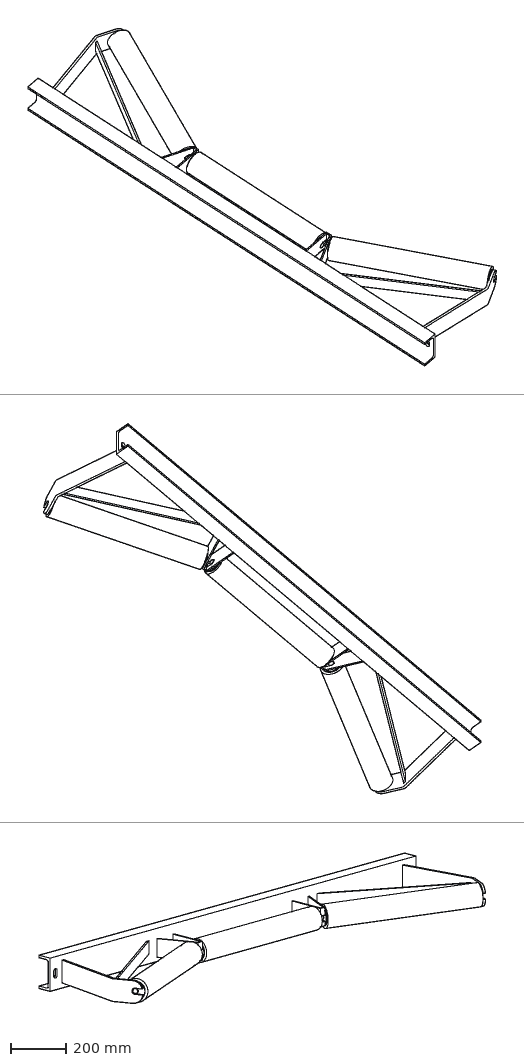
import cadquery as cq
import math


CHANNEL_LENGTH = 1900.0
CHANNEL_HEIGHT = 125.0
CHANNEL_DEPTH = 57.0
WEB_THICKNESS = 10.0
FLANGE_THICKNESS = 10.0
CHANNEL_FILLET = 10.0
MOUNT_SLOT_LENGTH = 35.0
MOUNT_SLOT_WIDTH = 17.0
MOUNT_SLOT_INSET = 28.0

ROLLER_DIAMETER = 90.0
ROLLER_LENGTH = 600.0
END_CAP_DIAMETER = 68.0
END_CAP_LENGTH = 4.0
SHAFT_DIAMETER = 19.0
ROLLER_GAP = 5.0
CENTRE_AXIS_Y = 114.0
WING_ANGLE = 25.0
WING_TILT = 2.0
WING_MIDDLE_X = 618.0
WING_MIDDLE_Y = 249.0
WING_OUTER_Z = 2.8

SHAFT_SLOT_WIDTH = 23.0
SHAFT_SLOT_REACH = 19.0
OUTER_HEIGHT = 85.0
OUTER_THICKNESS = 10.0
OUTER_FOOT_X = 884.0
OUTER_BEND_Y = 304.0
OUTER_BEND_RADIUS = 8.0
OUTER_TOP_LENGTH = 114.0
OUTER_END_RADIUS = 38.0
INNER_HEIGHT = 70.0
INNER_THICKNESS = 5.0
INNER_MIDDLE_Z = -11.0
INNER_TOP_Y = 140.0
BRACE_HEIGHT = 50.0
BRACE_THICKNESS = 8.0
BRACE_FOOT_X = 443.0
BRACE_TOP_Y = 300.0

FOOT_ALLOWANCE = 19.0

WING_DROP = ROLLER_LENGTH * math.sin(math.radians(WING_TILT))
WING_MIDDLE_Z = WING_OUTER_Z - WING_DROP / 2
CENTRE_AXIS_Z = WING_OUTER_Z - WING_DROP
WING_COS = math.cos(math.radians(WING_ANGLE))
WING_SIN = math.sin(math.radians(WING_ANGLE))
SHAFT_LENGTH = ROLLER_LENGTH + 2 * (ROLLER_GAP + INNER_THICKNESS)


def centred_along_x(section, length):
    """Extrude a YZ section along X, centred on X = 0."""
    return section.extrude(length).translate((-length / 2, 0, 0))


def place_centre(body):
    """Move a body built along X about the origin to the centre roller's place."""
    return body.translate((0, CENTRE_AXIS_Y, CENTRE_AXIS_Z))


def place_wing(body):
    """Move a body built along X about the origin to the right wing roller's place."""
    tilted = body.rotate((0, 0, 0), (0, 1, 0), -WING_TILT)
    raised = tilted.rotate((0, 0, 0), (0, 0, 1), WING_ANGLE)
    return raised.translate((WING_MIDDLE_X, WING_MIDDLE_Y, WING_MIDDLE_Z))


def beside_wing(distance, y):
    """The point at height y on a line square to the right wing roller, at a distance from its middle."""
    return (WING_MIDDLE_X + (distance - (y - WING_MIDDLE_Y) * WING_SIN) / WING_COS, y)


def below_foot(foot_x, upper):
    """The point where the line from the upper point through (foot_x, 0) passes below Y = 0."""
    upper_x, upper_y = upper
    return (foot_x - (upper_x - foot_x) * FOOT_ALLOWANCE / upper_y, -FOOT_ALLOWANCE)


def bent_strip(path, thickness, height):
    """A flat bar along an XY centre line, centred on Z = 0, with mitred bends and its feet at Y = 0."""
    directions = []
    for (x0, y0), (x1, y1) in zip(path, path[1:]):
        run = math.hypot(x1 - x0, y1 - y0)
        directions.append(((x1 - x0) / run, (y1 - y0) / run))
    before = directions[:1] + directions
    after = directions + directions[-1:]
    left, right = [], []
    for (x, y), (ax, ay), (bx, by) in zip(path, before, after):
        scale = thickness / 2 / (1 + ax * bx + ay * by)
        shift_x = -(ay + by) * scale
        shift_y = (ax + bx) * scale
        left.append((x + shift_x, y + shift_y))
        right.append((x - shift_x, y - shift_y))
    outline = left + right[::-1]
    strip = cq.Workplane("XY", origin=(0, 0, -height / 2)).polyline(outline).close().extrude(height)
    depth = 2 * FOOT_ALLOWANCE
    trim = cq.Workplane("XY").box(CHANNEL_LENGTH, depth, 2 * height).translate((0, -depth / 2, 0))
    return strip.cut(trim)


def channel():
    half_height = CHANNEL_HEIGHT / 2
    flange_inside = half_height - FLANGE_THICKNESS
    outline = [
        (0, -half_height),
        (0, half_height),
        (-CHANNEL_DEPTH, half_height),
        (-CHANNEL_DEPTH, flange_inside),
        (-WEB_THICKNESS, flange_inside),
        (-WEB_THICKNESS, -flange_inside),
        (-CHANNEL_DEPTH, -flange_inside),
        (-CHANNEL_DEPTH, -half_height),
    ]
    body = centred_along_x(cq.Workplane("YZ").polyline(outline).close(), CHANNEL_LENGTH)
    for z in (-flange_inside, flange_inside):
        inner_corner = cq.selectors.NearestToPointSelector((0, -WEB_THICKNESS, z))
        body = body.edges("|X").edges(inner_corner).fillet(CHANNEL_FILLET)
    slot_x = CHANNEL_LENGTH / 2 - MOUNT_SLOT_INSET
    slots = (
        cq.Workplane("XZ")
        .pushPoints([(-slot_x, 0), (slot_x, 0)])
        .slot2D(MOUNT_SLOT_LENGTH, MOUNT_SLOT_WIDTH, 90)
        .extrude(WEB_THICKNESS)
    )
    return body.cut(slots)


def round_bar(diameter, length):
    """A round bar along X, centred on the origin."""
    return centred_along_x(cq.Workplane("YZ").circle(diameter / 2), length)


def roller():
    """A roller along X, centred on the origin, with its end caps and shaft ends."""
    shell = round_bar(ROLLER_DIAMETER, ROLLER_LENGTH)
    caps = round_bar(END_CAP_DIAMETER, ROLLER_LENGTH + 2 * END_CAP_LENGTH)
    shaft = round_bar(SHAFT_DIAMETER, SHAFT_LENGTH)
    return shell.union(caps).union(shaft)


def shaft_slots():
    """Cutter for both shaft ends of a roller: round-bottomed slots, open away from the channel."""
    opening = ROLLER_DIAMETER
    seat = cq.Workplane("YZ").circle(SHAFT_SLOT_WIDTH / 2).extrude(SHAFT_SLOT_REACH)
    mouth = (
        cq.Workplane("YZ")
        .center(opening / 2, 0)
        .rect(opening, SHAFT_SLOT_WIDTH)
        .extrude(SHAFT_SLOT_REACH)
    )
    right_slot = seat.union(mouth).translate((ROLLER_LENGTH / 2, 0, 0))
    return right_slot.union(right_slot.mirror("YZ"))


def outer_bracket():
    """A plate rising from the channel and bent parallel to the outer end of the wing roller."""
    plate_distance = ROLLER_LENGTH / 2 + ROLLER_GAP + OUTER_THICKNESS / 2
    bend = beside_wing(plate_distance, OUTER_BEND_Y)
    end = beside_wing(plate_distance, OUTER_BEND_Y + OUTER_TOP_LENGTH * WING_COS)
    strip = bent_strip([below_foot(OUTER_FOOT_X, bend), bend, end], OUTER_THICKNESS, OUTER_HEIGHT)

    bend_sides = [
        (bend[0] - OUTER_THICKNESS, OUTER_BEND_RADIUS),
        (bend[0] + OUTER_THICKNESS, OUTER_BEND_RADIUS + OUTER_THICKNESS),
    ]
    for x, radius in bend_sides:
        bend_edge = cq.selectors.NearestToPointSelector((x, OUTER_BEND_Y, 0))
        strip = strip.edges("|Z").edges(bend_edge).fillet(radius)
    for z in (-OUTER_HEIGHT / 2, OUTER_HEIGHT / 2):
        end_corner = cq.selectors.NearestToPointSelector((*end, z))
        strip = strip.edges(end_corner).fillet(OUTER_END_RADIUS)
    return strip.cut(place_wing(shaft_slots()))


def inner_bracket():
    """A folded plate whose upright leg holds the centre roller and slanted leg holds the wing roller."""
    leg_distance = ROLLER_LENGTH / 2 + ROLLER_GAP + INNER_THICKNESS / 2
    path = [
        (leg_distance, -FOOT_ALLOWANCE),
        (leg_distance, INNER_TOP_Y),
        beside_wing(-leg_distance, INNER_TOP_Y),
        beside_wing(-leg_distance, -FOOT_ALLOWANCE),
    ]
    strip = bent_strip(path, INNER_THICKNESS, INNER_HEIGHT).translate((0, 0, INNER_MIDDLE_Z))
    return strip.cut(place_centre(shaft_slots())).cut(place_wing(shaft_slots()))


def brace(bracket):
    """A flat bar from the channel to the inner face of the outer bracket, just below its bend."""
    bend_x, bend_y = beside_wing(ROLLER_LENGTH / 2 + ROLLER_GAP + OUTER_THICKNESS / 2, OUTER_BEND_Y)
    end = (OUTER_FOOT_X + (bend_x - OUTER_FOOT_X) * BRACE_TOP_Y / bend_y, BRACE_TOP_Y)
    bar = bent_strip([below_foot(BRACE_FOOT_X, end), end], BRACE_THICKNESS, BRACE_HEIGHT)
    return bar.cut(bracket)


right_outer_bracket = outer_bracket()
right_side = [
    place_wing(roller()),
    right_outer_bracket,
    inner_bracket(),
    brace(right_outer_bracket),
]

bodies = [channel().val(), place_centre(roller()).val()]
for right_body in right_side:
    bodies.append(right_body.val())
    bodies.append(right_body.mirror("YZ").val())

result = cq.Compound.makeCompound(bodies)